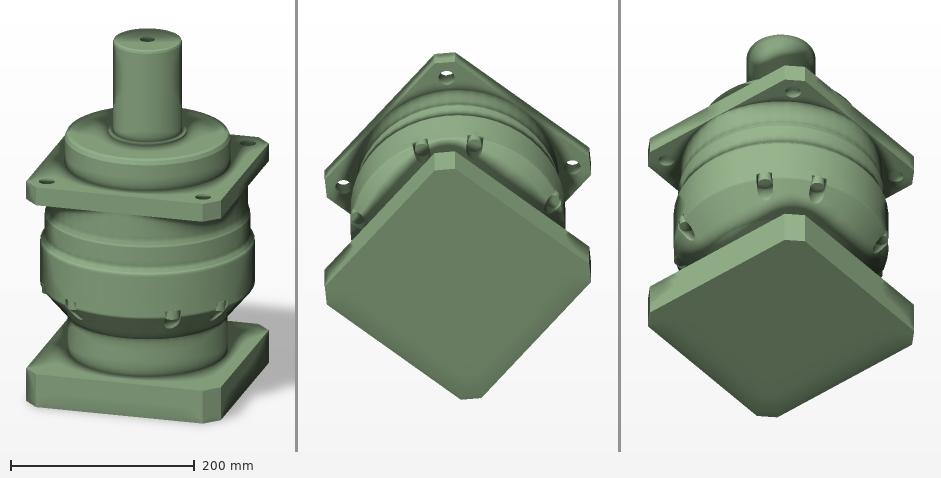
import cadquery as cq
import math

TOTAL_HEIGHT = 397.0
BASE_TOP = 38.0
NECK_TOP = 81.5
SPLIT_Z = 133.0
FLANGE_BOTTOM = 234.0
FLANGE_TOP = 254.5
PILOT_TOP = 289.5
COLLAR_TOP = 291.8

PLATE_WIDTH = 220.5
PLATE_CORNER_CUT = 16.0
FLANGE_HOLE_DIAMETER = 17.5
FLANGE_HOLE_PITCH = 177.0

NECK_RADIUS = 87.5
BODY_RADIUS = 234.0 / 2
MIDDLE_RADIUS = 112.0
UPPER_RADIUS = 109.5
PILOT_RADIUS = 90.0
COLLAR_RADIUS = 42.5
SHAFT_RADIUS = 75.0 / 2

CONE_TOP = 116.5
CONE_EDGE_RADIUS = 4.0
SCREW_CIRCLE_RADIUS = 110.0
SCREW_HEAD_RADIUS = 8.0
SCREW_HEAD_BOTTOM = 114.0
POCKET_RADIUS = 8.7
POCKET_CEILING = 124.0
POCKET_OVERSHOOT = 4.0
SCREW_ANGLES = [quarter + offset for quarter in (0, 90, 180, 270) for offset in (30, 60)]

LOWER_SHOULDER_BOTTOM = 164.5
UPPER_SHOULDER_BOTTOM = 196.0
LOWER_EDGE_HEIGHT = 2.8
UPPER_EDGE_HEIGHT = 1.0
BEVEL_HEIGHT = 1.4
CONE_HEIGHT = 3.0
ROOT_HEIGHT = 4.0
EDGE_SHARE = 0.12
BEVEL_SHARE = 0.26
CONE_SHARE = 0.36

PILOT_LEAD_HEIGHT = 4.5
PILOT_LEAD_DEPTH = 2.0
PILOT_EDGE_HEIGHT = 1.0
PILOT_EDGE_DEPTH = 4.0
SHAFT_LEAD_HEIGHT = 2.5
SHAFT_LEAD_DEPTH = 0.8
SHAFT_EDGE_HEIGHT = 0.8
SHAFT_EDGE_DEPTH = 2.5
CENTRE_HOLE_DIAMETER = 16.5
CENTRE_HOLE_DEPTH = 39.7
DRILL_TIP_ANGLE = 118.0


def square_plate(bottom, top):
    """Square plate with its four vertical corners cut off."""
    plate = cq.Workplane("XY").workplane(offset=bottom).rect(PLATE_WIDTH, PLATE_WIDTH).extrude(top - bottom)
    return plate.edges("|Z").chamfer(PLATE_CORNER_CUT)


def revolve_about_z(outline):
    """Close a half-section drawn in the XZ plane and turn it about the Z axis."""
    return outline.close().revolve(360, (0, 0, 0), (0, 1, 0))


def cylinder(radius, bottom, top):
    return cq.Workplane("XY").workplane(offset=bottom).circle(radius).extrude(top - bottom)



def adapter_turning():
    """Neck, cone and lower rim; the rim edge above the cone is rounded."""
    outline = (
        cq.Workplane("XZ")
        .moveTo(0, BASE_TOP)
        .lineTo(NECK_RADIUS, BASE_TOP)
        .lineTo(NECK_RADIUS, NECK_TOP)
        .lineTo(BODY_RADIUS, CONE_TOP)
        .lineTo(BODY_RADIUS, SPLIT_Z)
        .lineTo(0, SPLIT_Z)
    )
    turning = revolve_about_z(outline)
    rim_edge = cq.selectors.NearestToPointSelector((0, 0, CONE_TOP))
    return turning.edges(rim_edge).fillet(CONE_EDGE_RADIUS)


def at_screw(shape, angle):
    """Move a shape from the origin to the screw position at the given angle."""
    return shape.translate((SCREW_CIRCLE_RADIUS, 0, 0)).rotate((0, 0, 0), (0, 0, 1), angle)


def screw_pocket():
    """U-shaped pocket, open outward and downward."""
    reach = BODY_RADIUS - SCREW_CIRCLE_RADIUS + POCKET_OVERSHOOT
    opening = (
        cq.Workplane("XY")
        .workplane(offset=NECK_TOP)
        .center(reach / 2, 0)
        .rect(reach, 2 * POCKET_RADIUS)
        .extrude(POCKET_CEILING - NECK_TOP)
    )
    return cylinder(POCKET_RADIUS, NECK_TOP, POCKET_CEILING).union(opening)


def screw_head():
    """Head hanging from the pocket ceiling, in one piece with the adapter."""
    return cylinder(SCREW_HEAD_RADIUS, SCREW_HEAD_BOTTOM, POCKET_CEILING)


def make_adapter():
    body = square_plate(0, BASE_TOP).union(adapter_turning())
    for angle in SCREW_ANGLES:
        body = body.cut(at_screw(screw_pocket(), angle))
        body = body.union(at_screw(screw_head(), angle))
    return body



def arc_bulge(width, height):
    """Sagitta of an arc that is vertical at one end and spans the given width and height."""
    lean = math.atan2(width, height)
    return math.hypot(width, height) / 2 * math.tan(lean / 2)


def add_shoulder(outline, outer, inner, bottom, edge_height):
    """Step from the outer to the inner radius: rounded edge, bevel, cone and hollow root."""
    step = outer - inner
    edge_radius = outer - EDGE_SHARE * step
    bevel_radius = edge_radius - BEVEL_SHARE * step
    cone_radius = bevel_radius - CONE_SHARE * step
    edge_top = bottom + edge_height
    bevel_top = edge_top + BEVEL_HEIGHT
    cone_top = bevel_top + CONE_HEIGHT
    root_top = cone_top + ROOT_HEIGHT
    return (
        outline.lineTo(outer, bottom)
        .sagittaArc((edge_radius, edge_top), -arc_bulge(outer - edge_radius, edge_height))
        .lineTo(bevel_radius, bevel_top)
        .lineTo(cone_radius, cone_top)
        .sagittaArc((inner, root_top), arc_bulge(cone_radius - inner, ROOT_HEIGHT))
    )


def gearbox_turning():
    outline = cq.Workplane("XZ").moveTo(0, SPLIT_Z).lineTo(BODY_RADIUS, SPLIT_Z)
    outline = add_shoulder(outline, BODY_RADIUS, MIDDLE_RADIUS, LOWER_SHOULDER_BOTTOM, LOWER_EDGE_HEIGHT)
    outline = add_shoulder(outline, MIDDLE_RADIUS, UPPER_RADIUS, UPPER_SHOULDER_BOTTOM, UPPER_EDGE_HEIGHT)
    outline = outline.lineTo(UPPER_RADIUS, FLANGE_BOTTOM).lineTo(0, FLANGE_BOTTOM)
    return revolve_about_z(outline)


def mounting_flange():
    flange = square_plate(FLANGE_BOTTOM, FLANGE_TOP)
    return (
        flange.faces(">Z")
        .workplane(origin=(0, 0, FLANGE_TOP))
        .rect(FLANGE_HOLE_PITCH, FLANGE_HOLE_PITCH, forConstruction=True)
        .vertices()
        .hole(FLANGE_HOLE_DIAMETER)
    )


def bevelled_cylinder(radius, bottom, top, lead, edge):
    """Cylinder whose top edge has a steep lead-in below a flat bevel, each given as (height, depth)."""
    lead_height, lead_depth = lead
    edge_height, edge_depth = edge
    lead_radius = radius - lead_depth
    lead_top = top - edge_height
    outline = (
        cq.Workplane("XZ")
        .moveTo(0, bottom)
        .lineTo(radius, bottom)
        .lineTo(radius, lead_top - lead_height)
        .lineTo(lead_radius, lead_top)
        .lineTo(lead_radius - edge_depth, top)
        .lineTo(0, top)
    )
    return revolve_about_z(outline)


def pilot():
    """Centring boss on top of the mounting flange."""
    return bevelled_cylinder(
        PILOT_RADIUS,
        FLANGE_TOP,
        PILOT_TOP,
        lead=(PILOT_LEAD_HEIGHT, PILOT_LEAD_DEPTH),
        edge=(PILOT_EDGE_HEIGHT, PILOT_EDGE_DEPTH),
    )


def output_shaft():
    """Shaft standing on a low collar."""
    collar = cylinder(COLLAR_RADIUS, PILOT_TOP, COLLAR_TOP)
    shaft = bevelled_cylinder(
        SHAFT_RADIUS,
        COLLAR_TOP,
        TOTAL_HEIGHT,
        lead=(SHAFT_LEAD_HEIGHT, SHAFT_LEAD_DEPTH),
        edge=(SHAFT_EDGE_HEIGHT, SHAFT_EDGE_DEPTH),
    )
    return collar.union(shaft)


def centre_hole():
    """Blind hole in the shaft end, finished by a drill tip."""
    radius = CENTRE_HOLE_DIAMETER / 2
    hole_bottom = TOTAL_HEIGHT - CENTRE_HOLE_DEPTH
    tip_depth = radius / math.tan(math.radians(DRILL_TIP_ANGLE / 2))
    outline = (
        cq.Workplane("XZ")
        .moveTo(0, TOTAL_HEIGHT)
        .lineTo(radius, TOTAL_HEIGHT)
        .lineTo(radius, hole_bottom)
        .lineTo(0, hole_bottom - tip_depth)
    )
    return revolve_about_z(outline)


def make_gearbox():
    body = gearbox_turning().union(mounting_flange()).union(pilot()).union(output_shaft())
    return body.cut(centre_hole())


adapter = make_adapter()
gearbox = make_gearbox()

result = cq.Compound.makeCompound([adapter.val(), gearbox.val()])